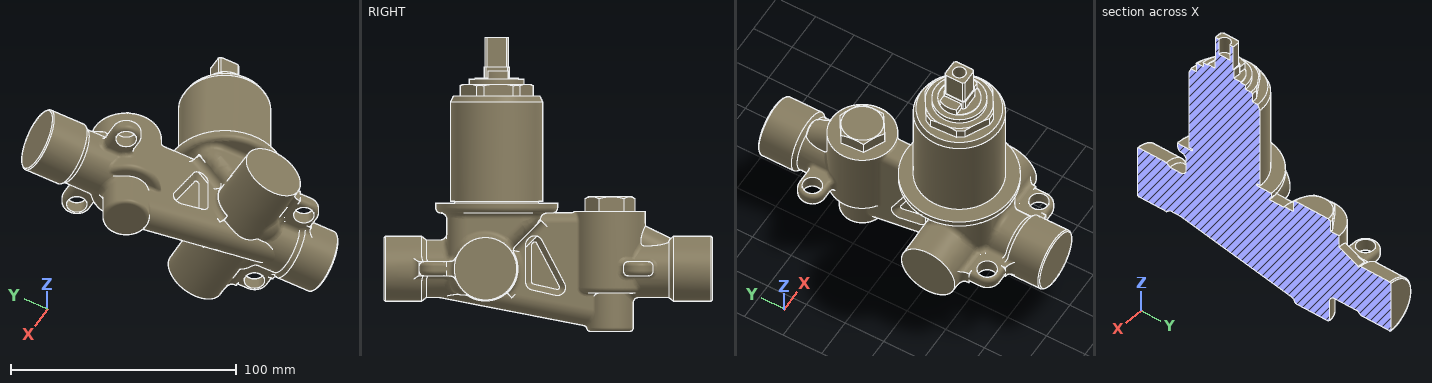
import cadquery as cq
import math

PIPE_R = 14.4
PIPE_NECK_R = 12.8
PIPE_STEP_LENGTH = 2.0
PIPE_EDGE_ROUND = 0.6
FRONT_END_Y = -49.9
REAR_END_Y = FRONT_END_Y + 145.5
FRONT_SOCKET_LENGTH = 16.7
REAR_SOCKET_LENGTH = 17.3

SIDE_SPAN = 70.0
SIDE_PIPE_Y = -5.0
SIDE_END_R = 13.8
SIDE_ROOT_R = 14.4

LUG_X = 22.1
LUG_FRONT_Y = -27.8
LUG_REAR_Y = 62.7
LUG_R = 6.5
LUG_THICKNESS = 6.4
LUG_EDGE_ROUND = 2.2
LUG_CORNER_RELIEF = 0.1
LUG_HOLE_R = 4.5

BODY_HALF_WIDTH = 17.5
BODY_FRONT_Y = -22.1
BODY_REAR_Y = 19.6
BODY_CORNER_R = 9.2
BODY_BOTTOM_Z = -11.6
BODY_REAR_WALL_HEIGHT = 3.2
BODY_SLOPE_ROUND = 5.8
BODY_BOTTOM_ROUND = 7.3
BODY_SLOPE_END_Z = 2.9

FLANGE_R = 27.0
FLANGE_TOP_Z = 29.1
FLANGE_EDGE_HEIGHT = 2.0
FLANGE_THICKNESS = 4.5
FLARE = 2.6

SLEEVE_R = 20.5
SLEEVE_NECK_R = 18.6
SLEEVE_BOTTOM_Z = 29.8
SLEEVE_TOP_Z = 76.5
SLEEVE_CHAMFER_HEIGHT = 2.8
SLEEVE_CHAMFER_WIDTH = 1.3
HEX_FLATS = 30.0
HEX_CUT_FLATS = 32.5
HEX_CROWN_R = 15.3
HEX_TURN = 3.0
HEX_TOP_Z = 81.6
COLLAR_R = 12.2
COLLAR_TOP_Z = 84.0

STEM_TOP_Z = 102.5
STEM_X = 9.0
STEM_Y = 10.3
STEM_EDGE_CHAMFER = 0.9
STEM_FOOT_X = 9.6
STEM_FOOT_Y = 11.2
STEM_FOOT_TOP_Z = 89.3
STEM_HOLE_R = 3.0
STEM_HOLE_DEPTH = 8.7
BAR_R = 9.6
BAR_WIDTH = 9.0
BAR_OFFSET_Y = 0.6
BAR_TOP_Z = 87.6
BAR_DISC_HEIGHT = 0.5

TOWER_Y = 50.2
TOWER_R = 15.7
TOWER_TOP_Z = 25.5
TOWER_BOTTOM_Z = -10.8
TOWER_BOTTOM_ROUND = 2.3
STUB_R = 10.3
STUB_BOTTOM_Z = -27.8
STUB_EDGE_ROUND = 1.6
PLUG_FLATS = 19.4
PLUG_TOP_Z = 32.0
PLUG_CROWN_R = 9.5
PLUG_TURN = 4.0

WEB_HALF_WIDTH = 7.7
WEB_TOP_Z = 24.9
WEB_TOP_ROUND = 4.8
WEB_FRONT_Y = -32.0
WEB_FRONT_BOTTOM_Z = -11.5
WEB_SLOPE = 11.0
POCKET_DEPTH = 3.2
POCKET_TAPER = 40
POCKET_ROUND = 3.6
POCKET_CORNERS = [(17.8, 17.0), (12.8, 12.1), (12.8, -8.7), (33.8, -13.5)]

GUSSET_R = 7.9
GUSSET_SLOPE = 26.0
GUSSET_LENGTH = 14.5
GUSSET_START_Y = 73.5
GUSSET_START_Z = 6.5

PIPE_BLEND = 2.9
TOWER_WEB_BLEND = 1.6
REAR_BLEND = 2.2
SLOPE_COVE = 3.6
COVE_OVERLAP = 0.6
PIPE_COVE_START = -48
PIPE_COVE_END = 45
SEAM_SAMPLES = (0.25, 0.6)
SEAM_TOLERANCE = 0.001


def cylinder_z(radius, bottom_z, top_z, y=0):
    return cq.Workplane("XY", origin=(0, y, bottom_z)).circle(radius).extrude(top_z - bottom_z)


def hexagon(flats, turn, bottom_z, top_z, y=0):
    """Hexagonal prism with a corner near +Y, turned counter-clockwise by `turn` degrees."""
    prism = cq.Workplane("XY").polygon(6, flats / math.cos(math.pi / 6)).extrude(top_z - bottom_z)
    return prism.rotate((0, 0, 0), (0, 0, 1), 30 + turn).translate((0, y, bottom_z))


def crowned(prism, flats, crown_r):
    """Bevel the upper corners of a hexagonal prism at 30 degrees, leaving a round top face."""
    bounds = prism.val().BoundingBox()
    corner_r = flats / 2 / math.cos(math.pi / 6)
    bevel_drop = (corner_r - crown_r) * math.tan(math.pi / 6)
    envelope = cylinder_z(corner_r, bounds.zmin, bounds.zmax, prism.val().Center().y)
    return prism.intersect(envelope.faces(">Z").chamfer(bevel_drop, corner_r - crown_r))


def stepped_pipe(end_y, inner_y, socket_length):
    """Pipe along Y whose wide socket steps down to a narrower neck."""
    inward = math.copysign(1, inner_y - end_y)
    socket_y = end_y + inward * socket_length
    profile = (
        cq.Workplane("XY")
        .moveTo(0, end_y)
        .lineTo(PIPE_R - PIPE_EDGE_ROUND, end_y)
        .lineTo(PIPE_R, end_y + inward * PIPE_EDGE_ROUND)
        .lineTo(PIPE_R, socket_y)
        .lineTo(PIPE_NECK_R, socket_y + inward * PIPE_STEP_LENGTH)
        .lineTo(PIPE_NECK_R, inner_y)
        .lineTo(0, inner_y)
        .close()
    )
    return profile.revolve(360, (0, 0, 0), (0, 1, 0))


def side_pipes():
    half = SIDE_SPAN / 2
    profile = (
        cq.Workplane("XY")
        .polyline([(-half, 0), (-half, SIDE_END_R), (0, SIDE_ROOT_R), (half, SIDE_END_R), (half, 0)])
        .close()
    )
    return profile.revolve(360, (0, 0, 0), (1, 0, 0)).translate((0, SIDE_PIPE_Y, 0))


def body_section(grow):
    width = 2 * (BODY_HALF_WIDTH + grow)
    length = BODY_REAR_Y - BODY_FRONT_Y + 2 * grow
    return cq.Sketch().rect(width, length).vertices().fillet(BODY_CORNER_R + grow)


def body():
    """Rounded block whose rear wall slopes forward at 45 degrees."""
    top_z = FLANGE_TOP_Z - FLANGE_EDGE_HEIGHT
    centre_y = (BODY_FRONT_Y + BODY_REAR_Y) / 2
    block = (
        cq.Workplane("XY", origin=(0, centre_y, BODY_BOTTOM_Z))
        .placeSketch(body_section(0))
        .extrude(top_z - BODY_BOTTOM_Z)
        .faces("<Z")
        .edges()
        .fillet(BODY_BOTTOM_ROUND)
    )
    slope_top_z = FLANGE_TOP_Z - FLANGE_THICKNESS - BODY_REAR_WALL_HEIGHT
    drop = slope_top_z - BODY_SLOPE_END_Z
    behind_slope = (
        cq.Workplane("YZ")
        .polyline([
            (BODY_REAR_Y, slope_top_z),
            (BODY_REAR_Y, BODY_BOTTOM_Z),
            (BODY_REAR_Y - drop, BODY_BOTTOM_Z),
            (BODY_REAR_Y - drop, BODY_SLOPE_END_Z),
        ])
        .close()
        .extrude(BODY_HALF_WIDTH, both=True)
    )
    return block.cut(behind_slope).edges("%ELLIPSE or |(0,1,1)").fillet(BODY_SLOPE_ROUND)


def flange():
    rim_round = FLANGE_THICKNESS - FLANGE_EDGE_HEIGHT
    profile = (
        cq.Workplane("XZ")
        .moveTo(0, FLANGE_TOP_Z)
        .lineTo(FLANGE_R, FLANGE_TOP_Z)
        .lineTo(FLANGE_R, FLANGE_TOP_Z - FLANGE_EDGE_HEIGHT)
        .radiusArc((FLANGE_R - rim_round, FLANGE_TOP_Z - FLANGE_THICKNESS), rim_round)
        .lineTo(0, FLANGE_TOP_Z - FLANGE_THICKNESS)
        .close()
    )
    return profile.revolve(360, (0, 0, 0), (0, 1, 0))


def cartridge():
    neck = cylinder_z(SLEEVE_NECK_R, FLANGE_TOP_Z, SLEEVE_BOTTOM_Z)
    sleeve = cylinder_z(SLEEVE_R, SLEEVE_BOTTOM_Z, SLEEVE_TOP_Z)
    sleeve = sleeve.faces(">Z").chamfer(SLEEVE_CHAMFER_HEIGHT, SLEEVE_CHAMFER_WIDTH)
    corner_cut = hexagon(HEX_CUT_FLATS, 30 + HEX_TURN, SLEEVE_TOP_Z, HEX_TOP_Z)
    nut = hexagon(HEX_FLATS, HEX_TURN, SLEEVE_TOP_Z, HEX_TOP_Z).intersect(corner_cut)
    nut = crowned(nut, HEX_FLATS, HEX_CROWN_R)
    collar = cylinder_z(COLLAR_R, HEX_TOP_Z, COLLAR_TOP_Z)
    return neck.union(sleeve).union(nut).union(collar)


def stem():
    bar_height = BAR_TOP_Z - COLLAR_TOP_Z
    bar_strip = (
        cq.Workplane("XY", origin=(0, BAR_OFFSET_Y, COLLAR_TOP_Z))
        .box(2 * BAR_R, BAR_WIDTH, bar_height, centered=(True, True, False))
    )
    bar = cylinder_z(BAR_R, COLLAR_TOP_Z, BAR_TOP_Z).intersect(bar_strip)
    shaft = (
        cq.Workplane("XY", origin=(0, 0, COLLAR_TOP_Z))
        .rect(STEM_X, STEM_Y)
        .extrude(STEM_TOP_Z - COLLAR_TOP_Z)
        .edges("|Z")
        .chamfer(STEM_EDGE_CHAMFER)
    )
    foot = (
        cq.Workplane("XY", origin=(0, 0, COLLAR_TOP_Z))
        .rect(STEM_FOOT_X, STEM_FOOT_Y)
        .extrude(STEM_FOOT_TOP_Z - COLLAR_TOP_Z)
        .edges("|Z")
        .chamfer(STEM_EDGE_CHAMFER)
    )
    hole = cylinder_z(STEM_HOLE_R, STEM_TOP_Z - STEM_HOLE_DEPTH, STEM_TOP_Z)
    disc = cylinder_z(BAR_R, COLLAR_TOP_Z, COLLAR_TOP_Z + BAR_DISC_HEIGHT)
    return bar.union(disc).union(shaft).union(foot).cut(hole)


def tower():
    barrel = cylinder_z(TOWER_R, TOWER_BOTTOM_Z, TOWER_TOP_Z, TOWER_Y)
    barrel = barrel.faces("<Z").edges().fillet(TOWER_BOTTOM_ROUND)
    stub = cylinder_z(STUB_R, STUB_BOTTOM_Z, TOWER_BOTTOM_Z, TOWER_Y)
    stub = stub.faces("<Z").edges().fillet(STUB_EDGE_ROUND)
    return barrel.union(stub)


def plug():
    hexagon_bar = hexagon(PLUG_FLATS, PLUG_TURN, TOWER_TOP_Z, PLUG_TOP_Z, TOWER_Y)
    return crowned(hexagon_bar, PLUG_FLATS, PLUG_CROWN_R)


def web():
    """Wall with a rounded top and a full-round, sloping underside."""
    slope = math.radians(WEB_SLOPE)
    length = TOWER_Y - WEB_FRONT_Y
    axis_front_z = WEB_FRONT_BOTTOM_Z + WEB_HALF_WIDTH / math.cos(slope)
    axis_rear_z = axis_front_z - length * math.tan(slope)
    underside = cq.Workplane(
        cq.Plane((0, WEB_FRONT_Y, axis_front_z), (1, 0, 0), (0, math.cos(slope), -math.sin(slope)))
    ).circle(WEB_HALF_WIDTH).extrude(length / math.cos(slope))
    wall = (
        cq.Workplane("YZ")
        .polyline([
            (0, WEB_TOP_Z),
            (0, axis_front_z + WEB_FRONT_Y * math.tan(slope)),
            (TOWER_Y, axis_rear_z),
            (TOWER_Y, WEB_TOP_Z),
        ])
        .close()
        .extrude(WEB_HALF_WIDTH, both=True)
        .faces(">Z")
        .edges("|Y")
        .fillet(WEB_TOP_ROUND)
    )
    return wall.union(underside)


def pocket(side):
    """Four-cornered recess with tapered walls, sunk into one face of the web."""
    cutter = (
        cq.Workplane("YZ")
        .placeSketch(cq.Sketch().polygon(POCKET_CORNERS + POCKET_CORNERS[:1]).vertices().fillet(POCKET_ROUND))
        .extrude(-POCKET_DEPTH, taper=POCKET_TAPER)
        .translate((WEB_HALF_WIDTH, 0, 0))
    )
    return cutter if side > 0 else cutter.mirror("YZ")


def gusset():
    slope = math.radians(GUSSET_SLOPE)
    direction = (0, -math.cos(slope), math.sin(slope))
    plane = cq.Plane((0, GUSSET_START_Y, GUSSET_START_Z), (1, 0, 0), direction)
    return cq.Workplane(plane).circle(GUSSET_R).extrude(GUSSET_LENGTH)


def lug_plate(centre_y, length, rounded):
    """Square-edged plate crossing the Y pipe, with the `rounded` corners turned to lug ends."""
    return (
        cq.Workplane("XY", origin=(0, centre_y, 0))
        .box(2 * (LUG_X + LUG_R), length, LUG_THICKNESS)
        .edges(rounded)
        .fillet(LUG_R - LUG_CORNER_RELIEF)
    )


def with_soft_edges(plate):
    return plate.faces("<Z or >Z").edges().fillet(LUG_EDGE_ROUND)


def front_lugs():
    front_y = LUG_FRONT_Y - LUG_R
    return lug_plate((front_y + SIDE_PIPE_Y) / 2, SIDE_PIPE_Y - front_y, "|Z and <Y")


def rear_lugs():
    return with_soft_edges(lug_plate(LUG_REAR_Y, 2 * LUG_R, "|Z"))


def front_lug_trim():
    """Material outside the soft edges of the front lugs, clear of their blends into the pipes."""
    inner_x = PIPE_R + PIPE_BLEND
    rear_y = SIDE_PIPE_Y - SIDE_ROOT_R - PIPE_BLEND
    size_x = LUG_X + LUG_R - inner_x
    size_y = rear_y - (LUG_FRONT_Y - LUG_R)
    zones = (
        cq.Workplane("XY")
        .pushPoints([(side * (inner_x + size_x / 2), rear_y - size_y / 2) for side in (-1, 1)])
        .box(size_x, size_y, LUG_THICKNESS)
    )
    return zones.cut(with_soft_edges(front_lugs()))


def lug_holes():
    centres = [(x, y) for x in (-LUG_X, LUG_X) for y in (LUG_FRONT_Y, LUG_REAR_Y)]
    return (
        cq.Workplane("XY", origin=(0, 0, -LUG_THICKNESS / 2))
        .pushPoints(centres)
        .circle(LUG_HOLE_R)
        .extrude(LUG_THICKNESS)
    )


def cove_profile(plane, corner_x, corner_y, radius):
    """Concave fillet section filling the corner at (corner_x, corner_y), sunk a little into both walls."""
    low_x = corner_x - COVE_OVERLAP
    low_y = corner_y - COVE_OVERLAP
    inset = radius * (1 - math.sqrt(0.5))
    return (
        cq.Workplane(plane)
        .moveTo(low_x, low_y)
        .lineTo(corner_x + radius, low_y)
        .lineTo(corner_x + radius, corner_y)
        .threePointArc((corner_x + inset, corner_y + inset), (corner_x, corner_y + radius))
        .lineTo(low_x, corner_y + radius)
        .close()
    )


def slope_cove():
    """Cove along the corner between the web and the sloping rear wall of the body."""
    top_z = FLANGE_TOP_Z - FLANGE_THICKNESS - BODY_REAR_WALL_HEIGHT
    drop = top_z - BODY_SLOPE_END_Z
    diagonal = math.sqrt(0.5)
    plane = cq.Plane((0, BODY_REAR_Y - drop, BODY_SLOPE_END_Z), (1, 0, 0), (0, diagonal, diagonal))
    return cove_profile(plane, WEB_HALF_WIDTH, 0, SLOPE_COVE).extrude(drop / diagonal)


def pipe_cove():
    """Cove along the corner between the web and the side pipe."""
    cove = cove_profile("XY", WEB_HALF_WIDTH, SIDE_ROOT_R, PIPE_BLEND).revolve(
        PIPE_COVE_END - PIPE_COVE_START, (0, 0, 0), (1, 0, 0)
    )
    return cove.rotate((0, 0, 0), (1, 0, 0), PIPE_COVE_START).translate((0, SIDE_PIPE_Y, 0))


def blend(first, second, radius):
    """Join two bodies and fillet the edges where their surfaces meet."""
    skins = [cq.Compound.makeCompound(body_part.faces().vals()) for body_part in (first, second)]

    def lies_on_both(edge):
        samples = [cq.Vertex.makeVertex(*edge.positionAt(t).toTuple()) for t in SEAM_SAMPLES]
        return all(point.distance(skin) < SEAM_TOLERANCE for point in samples for skin in skins)

    joined = first.union(second)
    seam = [edge for edge in joined.edges().vals() if lies_on_both(edge)]
    return joined.newObject(seam).fillet(radius)


head = blend(body(), flange(), FLARE)
front_pipes = blend(stepped_pipe(FRONT_END_Y, 0, FRONT_SOCKET_LENGTH), side_pipes(), PIPE_BLEND)
front_half = blend(head, front_pipes, PIPE_BLEND)
front_half = blend(front_half, front_lugs(), PIPE_BLEND).cut(front_lug_trim())

rear_half = blend(tower(), web(), TOWER_WEB_BLEND)
rear_half = blend(rear_half, stepped_pipe(REAR_END_Y, TOWER_Y, REAR_SOCKET_LENGTH), REAR_BLEND)
rear_half = blend(rear_half.union(gusset()), rear_lugs(), REAR_BLEND)

casting = front_half.union(rear_half)
for cove in (slope_cove(), pipe_cove()):
    casting = casting.union(cove).union(cove.mirror("YZ"))
casting = casting.cut(lug_holes()).cut(pocket(-1)).cut(pocket(1))

result = casting.union(plug()).union(cartridge()).union(stem())